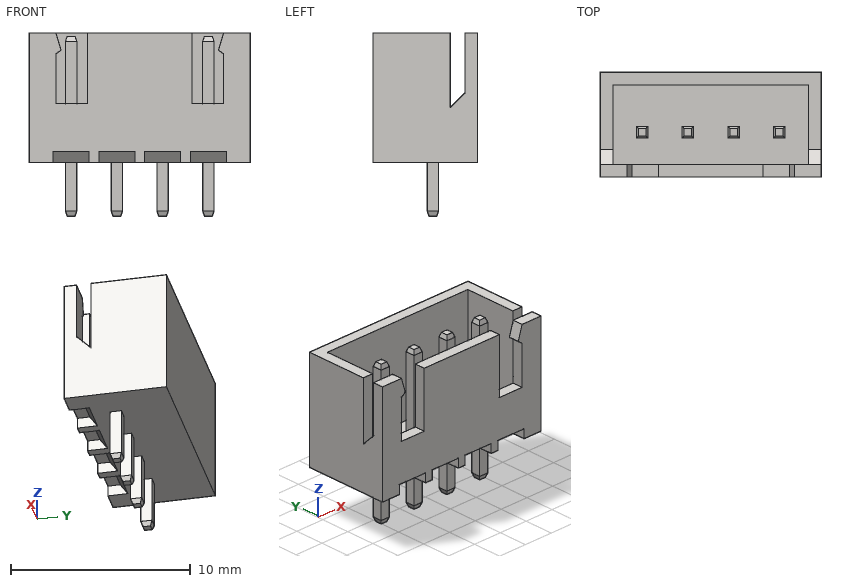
import cadquery as cq

length = 12.29
width = 5.84
height = 7.23
wall = 0.71
floor_thickness = 0.75

pin_count = 4
pin_pitch = 2.55
pin_size = 0.64
pin_tip_size = 0.43
pin_taper = 0.3
pin_row_y = 2.5
pin_top_gap = 0.2
pin_tail = 2.99

window_outer_offset = 1.47
window_width = 1.76
window_depth = 3.95
nose_reach = 0.3
nose_tip_depth = 0.97
nose_root_depth = 1.18

slot_width = 0.81
slot_front_depth = 3.33

notch_width = 2.02
notch_height = 0.63
notch_roof_depth = wall
notch_back_run = 0.43

pin_xs = [(i - (pin_count - 1) / 2) * pin_pitch for i in range(pin_count)]


def make_housing():
    """Box with a rectangular cavity open at the top."""
    box = cq.Workplane("XY").box(length, width, height, centered=(True, False, False))
    cavity = (
        cq.Workplane("XY")
        .workplane(offset=floor_thickness)
        .center(0, width / 2)
        .rect(length - 2 * wall, width - 2 * wall)
        .extrude(height - floor_thickness)
    )
    return box.cut(cavity)


def make_latch_window():
    """Cutter for the left window; its outer edge follows the locking nose."""
    outer_x = window_outer_offset - length / 2
    inner_x = outer_x + window_width
    sill_z = height - window_depth
    return (
        cq.Workplane("XZ")
        .moveTo(inner_x, height)
        .lineTo(inner_x, sill_z)
        .lineTo(outer_x, sill_z)
        .lineTo(outer_x, height - nose_root_depth)
        .lineTo(outer_x + nose_reach, height - nose_tip_depth)
        .lineTo(outer_x, height)
        .close()
        .extrude(-wall)
    )


def make_end_slots():
    """Cutter running the full length, so it opens both end walls."""
    front_z = height - slot_front_depth
    return (
        cq.Workplane("YZ")
        .moveTo(wall, height)
        .lineTo(wall, front_z)
        .lineTo(wall + slot_width, front_z - slot_width)
        .lineTo(wall + slot_width, height)
        .close()
        .extrude(length / 2, both=True)
    )


def make_notch(x):
    """Cutter under the front wall, centred on one pin; it deepens towards the underside."""
    return (
        cq.Workplane("YZ", origin=(x, 0, 0))
        .moveTo(0, 0)
        .lineTo(0, notch_height)
        .lineTo(notch_roof_depth, notch_height)
        .lineTo(notch_roof_depth + notch_back_run, 0)
        .close()
        .extrude(notch_width / 2, both=True)
    )


def make_pin(x):
    """Square post with a tapered tip at each end."""
    bottom_z = -pin_tail
    top_z = height - pin_top_gap

    def make_tip(end_z, shoulder_z):
        return (
            cq.Workplane("XY", origin=(x, pin_row_y, end_z))
            .rect(pin_tip_size, pin_tip_size)
            .workplane(offset=shoulder_z - end_z)
            .rect(pin_size, pin_size)
            .loft(ruled=True)
        )

    shank_length = top_z - bottom_z - 2 * pin_taper
    shank = (
        cq.Workplane("XY", origin=(x, pin_row_y, bottom_z + pin_taper))
        .rect(pin_size, pin_size)
        .extrude(shank_length)
    )
    lower_tip = make_tip(bottom_z, bottom_z + pin_taper)
    upper_tip = make_tip(top_z, top_z - pin_taper)
    return shank.union(lower_tip).union(upper_tip)


left_window = make_latch_window()
result = make_housing().cut(left_window).cut(left_window.mirror("YZ")).cut(make_end_slots())
for pin_x in pin_xs:
    result = result.cut(make_notch(pin_x)).union(make_pin(pin_x))